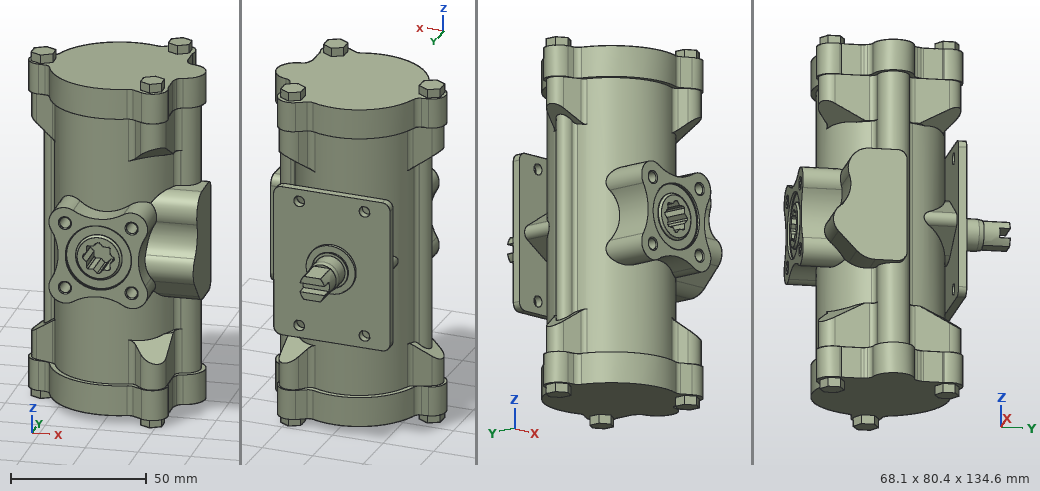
import cadquery as cq
import math

overall_height = 134.6
bolt_head_height = 3.4
cover_thickness = 11.7
cover_radius = 25.7
tube_diameter = 47.5

left_screw_x = -28.7
right_screw_x = 17.9
right_screw_y = 21.5
left_head_corners = 9.5
right_head_corners = 9.2
head_turn = 30.0

cover_left_lug_radius = 5.5
cover_right_lug_radius = 5.8
tube_left_lug_radius = 4.5
tube_right_lug_radius = 5.1
cover_left_lug_taper = 7.0
cover_right_lug_taper = 20.0
tube_left_lug_taper = 22.0
tube_right_lug_taper = 5.0
cover_side_inset = 0.5
tube_lug_length = 17.2
lug_slope_start = 22.6
lug_slope_angle = 34.7
lug_slope_run = 16.2
lug_slope_width = 26.9
lug_root_reach = 17.8

lobe_x = 24.9
cover_lobe_radius = 7.8
tube_lobe_radius = 6.0
rib_x = -25.0
rib_radius = 3.4
cover_blend = 2.7
lug_blend = 2.5
tube_lobe_blend = 2.4
rib_blend = 1.6

flange_face_y = -32.6
flange_hole_offset = 12.7
flange_corner_radius = 6.0
flange_waist = 15.2
tapped_hole_diameter = 4.2
tapped_hole_mouth = 5.0
tapped_hole_depth = 10.8
drill_tip_angle = 118.0
recess_diameter = 25.0
recess_depth = 1.1
recess_chamfer = 0.3

plate_width = 46.0
plate_height = 59.8
plate_thickness = 3.1
plate_inner_y = 24.9
plate_corner_radius = 3.1
plate_hole_x = 12.9
plate_hole_z = 25.0
plate_hole_diameter = 4.2
support_radius = 12.1
support_tip_radius = 3.1
support_half_length = 20.2
bearing_boss_diameter = 19.4
bearing_boss_height = 1.2

block_face_x = 33.9
block_start_x = 10.8
block_half_height = 21.3
block_back_y = 3.5
upper_lobe_y = -10.6
upper_lobe_radius = 8.0
lower_lobe_y = -17.4
lower_lobe_z = -6.5
lower_lobe_radius = 6.7
bottom_arc_y = -8.3
bottom_arc_radius = 9.7
waist_arc_radius = 11.0

shaft_diameter = 17.6
shaft_end_chamfer = 0.8
collar_diameter = 14.1
collar_end_y = 30.0
neck_diameter = 12.0
neck_end_y = 36.0
neck_cone_length = 1.9
neck_cone_end_diameter = 11.2
shaft_tip_y = 47.8
tip_flat_thickness = 9.3
tip_flat_width = 6.6
tip_root_width = 11.2
tip_end_width = 10.1
tip_slot_width = 3.6
tip_slot_depth = 4.0
socket_tip_diameter = 12.0
socket_square = 9.0
socket_turn = 45.0
socket_depth = 12.1

match_tolerance = 0.01

tube_radius = tube_diameter / 2
cover_top = overall_height / 2 - bolt_head_height
tube_top = cover_top - cover_thickness
lug_bottom = tube_top - tube_lug_length
plate_outer_y = plate_inner_y + plate_thickness
bearing_boss_y = plate_outer_y + bearing_boss_height
screw_points = [
    (left_screw_x, 0.0),
    (right_screw_x, right_screw_y),
    (right_screw_x, -right_screw_y),
]


def disc_y(diameter, y_start, y_end):
    """Cylinder about the Y axis between two Y positions."""
    plane = cq.Workplane("XZ", origin=(0, y_start, 0))
    return plane.circle(diameter / 2).extrude(y_start - y_end)


def on_circle(center, radius, target):
    """Point of a circle that lies in the direction of the target."""
    distance = math.dist(center, target)
    return tuple(c + radius * (t - c) / distance for c, t in zip(center, target))


def quarter_turned(point, turns):
    """Point turned clockwise about the origin by a number of quarter turns."""
    for _ in range(turns):
        point = (point[1], -point[0])
    return point


def lug(point, radius, taper, z_bottom, height):
    """Round-ended lug that widens toward the tube axis."""
    reach = math.hypot(*point)
    direction = math.degrees(math.atan2(point[1], point[0]))
    angle = math.radians(taper)
    tangent_r = reach + radius * math.sin(angle)
    tangent_half = radius * math.cos(angle)
    root_half = tangent_half + (tangent_r - lug_root_reach) * math.tan(angle)
    outline = [
        (lug_root_reach, -root_half),
        (tangent_r, -tangent_half),
        (tangent_r, tangent_half),
        (lug_root_reach, root_half),
    ]
    plane = cq.Workplane("XY", origin=(0, 0, z_bottom))
    web = plane.polyline(outline).close().extrude(height)
    nose = plane.center(reach, 0).circle(radius).extrude(height)
    return web.union(nose).rotate((0, 0, 0), (0, 0, 1), direction)


def lobe(x, radius, z_bottom, height):
    """Round-nosed bulge reaching from the tube axis out along X."""
    plane = cq.Workplane("XY", origin=(0, 0, z_bottom))
    web = plane.center(x / 2, 0).rect(abs(x), 2 * radius).extrude(height)
    return web.union(plane.center(x, 0).circle(radius).extrude(height))


def vertical_edges(solid, *radii):
    """Vertical edges that lie at any of the given distances from the tube axis."""
    def is_at_a_radius(edge):
        center = edge.Center()
        distance = math.hypot(center.x, center.y)
        return any(abs(distance - radius) < match_tolerance for radius in radii)

    return solid.edges("|Z").filter(is_at_a_radius)


def lugged_block(core_radius, radii, tapers, side_x, lobe_radius, blend, z_bottom, height):
    """Disc with three screw lugs, a flat side between two of them, and the lobe."""
    plane = cq.Workplane("XY", origin=(0, 0, z_bottom))
    block = plane.circle(core_radius).extrude(height)
    side_width = side_x - right_screw_x
    side_center = right_screw_x + side_width / 2
    side = plane.center(side_center, 0).rect(side_width, 2 * right_screw_y).extrude(height)
    block = block.union(side)
    for point, radius, taper in zip(screw_points, radii, tapers):
        block = block.union(lug(point, radius, taper, z_bottom, height))
    block = block.union(lobe(lobe_x, lobe_radius, z_bottom, height))
    return vertical_edges(block, core_radius, math.hypot(side_x, lobe_radius)).fillet(blend)


def make_cover():
    """Upper end cover."""
    radii = [cover_left_lug_radius, cover_right_lug_radius, cover_right_lug_radius]
    tapers = [cover_left_lug_taper, cover_right_lug_taper, cover_right_lug_taper]
    side_x = right_screw_x + cover_right_lug_radius - cover_side_inset
    return lugged_block(
        cover_radius,
        radii,
        tapers,
        side_x,
        cover_lobe_radius,
        cover_blend,
        tube_top,
        cover_thickness,
    )


def make_tube_lugs():
    """Lugs at the upper tube end, with undersides sloping up and outward."""
    radii = [tube_left_lug_radius, tube_right_lug_radius, tube_right_lug_radius]
    tapers = [tube_left_lug_taper, tube_right_lug_taper, tube_right_lug_taper]
    side_x = right_screw_x + tube_right_lug_radius
    block = lugged_block(
        tube_radius,
        radii,
        tapers,
        side_x,
        tube_lobe_radius,
        lug_blend,
        lug_bottom,
        tube_lug_length,
    )
    rise = lug_slope_run * math.tan(math.radians(lug_slope_angle))
    wedge_outline = [
        (lug_slope_start, lug_bottom),
        (lug_slope_start + lug_slope_run, lug_bottom),
        (lug_slope_start + lug_slope_run, lug_bottom + rise),
    ]
    wedge = cq.Workplane("XZ").polyline(wedge_outline).close()
    wedge = wedge.extrude(lug_slope_width / 2, both=True)
    for x, y in screw_points:
        direction = math.degrees(math.atan2(y, x))
        block = block.cut(wedge.rotate((0, 0, 0), (0, 0, 1), direction))
    return block


def make_screw_heads():
    """Three hexagon heads on the upper cover."""
    heads = cq.Workplane("XY")
    for index, (x, y) in enumerate(screw_points):
        corners = left_head_corners if index == 0 else right_head_corners
        head = cq.Workplane("XY").polygon(6, corners).extrude(bolt_head_height)
        head = head.rotate((0, 0, 0), (0, 0, 1), head_turn)
        heads = heads.add(head.translate((x, y, cover_top)))
    return heads.combine()


def make_tube():
    """Plain tube with its lobe and its rib."""
    height = 2 * tube_top
    tube = cq.Workplane("XY", origin=(0, 0, -tube_top)).circle(tube_radius).extrude(height)
    tube = tube.union(lobe(lobe_x, tube_lobe_radius, -tube_top, height))
    tube = tube.union(lobe(rib_x, rib_radius, -tube_top, height))
    lobe_corners = vertical_edges(tube, tube_radius).filter(lambda edge: edge.Center().x > 0)
    tube = lobe_corners.fillet(tube_lobe_blend)
    rib_corners = vertical_edges(tube, tube_radius).filter(lambda edge: edge.Center().x < 0)
    return rib_corners.fillet(rib_blend)


def make_flange():
    """Four-cornered mounting flange with hollow sides, ending at the -Y face."""
    hole = flange_hole_offset
    corner = flange_corner_radius
    gap = hole - flange_waist
    side = (hole**2 + gap**2 - corner**2) / (2 * (corner + gap))
    side_center = flange_waist + side
    tangent = on_circle((hole, hole), corner, (0, side_center))
    tip = hole + corner / math.sqrt(2)
    near, far = tangent
    outline = cq.Workplane("XZ").moveTo(-near, far)
    for turns in range(4):
        side_middle = quarter_turned((0, flange_waist), turns)
        side_end = quarter_turned((near, far), turns)
        corner_middle = quarter_turned((tip, tip), turns)
        corner_end = quarter_turned((far, near), turns)
        outline = outline.threePointArc(side_middle, side_end)
        outline = outline.threePointArc(corner_middle, corner_end)
    outline = outline.close()
    return outline.extrude(-flange_face_y)


def make_support():
    """Oval pad between the tube and the plate: a round middle with two narrow tips."""
    tip_x = support_half_length - support_tip_radius
    sine = (support_radius - support_tip_radius) / tip_x
    cosine = math.sqrt(1 - sine**2)
    middle = (support_radius * sine, support_radius * cosine)
    end = (tip_x + support_tip_radius * sine, support_tip_radius * cosine)
    outline = cq.Workplane("XZ").moveTo(-middle[0], middle[1])
    outline = outline.threePointArc((0, support_radius), middle).lineTo(*end)
    outline = outline.threePointArc((support_half_length, 0), (end[0], -end[1]))
    outline = outline.lineTo(middle[0], -middle[1])
    outline = outline.threePointArc((0, -support_radius), (-middle[0], -middle[1]))
    outline = outline.lineTo(-end[0], -end[1])
    outline = outline.threePointArc((-support_half_length, 0), (-end[0], end[1])).close()
    return outline.extrude(-plate_inner_y)


def make_plate():
    """Rounded rectangular plate with four holes and a low bearing boss."""
    plane = cq.Workplane("XZ", origin=(0, plate_outer_y, 0))
    plate = plane.rect(plate_width, plate_height).extrude(plate_thickness)
    plate = plate.edges("|Y").fillet(plate_corner_radius)
    holes = plane.rect(2 * plate_hole_x, 2 * plate_hole_z, forConstruction=True).vertices()
    holes = holes.circle(plate_hole_diameter / 2).extrude(plate_thickness)
    boss = disc_y(bearing_boss_diameter, plate_outer_y, bearing_boss_y)
    return plate.cut(holes).union(boss)


def make_connection_block():
    """Block on the +X side whose -Y flank is two round lobes with a hollow between."""
    upper = (upper_lobe_y, block_half_height - upper_lobe_radius)
    lower = (lower_lobe_y, lower_lobe_z)
    bottom = (bottom_arc_y, bottom_arc_radius - block_half_height)

    span = math.dist(upper, lower)
    to_upper = upper_lobe_radius + waist_arc_radius
    to_lower = lower_lobe_radius + waist_arc_radius
    along = (to_upper**2 - to_lower**2 + span**2) / (2 * span)
    across = math.sqrt(to_upper**2 - along**2)
    unit = ((lower[0] - upper[0]) / span, (lower[1] - upper[1]) / span)
    waist = (
        upper[0] + along * unit[0] + across * unit[1],
        upper[1] + along * unit[1] - across * unit[0],
    )
    waist_start = on_circle(upper, upper_lobe_radius, waist)
    waist_end = on_circle(lower, lower_lobe_radius, waist)
    waist_middle = on_circle(waist, waist_arc_radius, [(a + b) / 2 for a, b in zip(upper, lower)])

    reach = math.dist(lower, bottom)
    heading = math.atan2(bottom[1] - lower[1], bottom[0] - lower[0])
    normal_angle = heading - math.acos((lower_lobe_radius - bottom_arc_radius) / reach)
    normal = (math.cos(normal_angle), math.sin(normal_angle))
    flank_start = tuple(c + lower_lobe_radius * n for c, n in zip(lower, normal))
    flank_end = tuple(c + bottom_arc_radius * n for c, n in zip(bottom, normal))
    bottom_end = (bottom_arc_y, -block_half_height)
    bottom_middle = on_circle(
        bottom, bottom_arc_radius, [(a + b) / 2 for a, b in zip(flank_end, bottom_end)]
    )
    upper_middle = on_circle(upper, upper_lobe_radius, (upper[0] - 1.3, upper[1] + 1.3))

    outline = cq.Workplane("YZ", origin=(block_start_x, 0, 0))
    outline = outline.moveTo(upper_lobe_y, block_half_height)
    outline = outline.threePointArc(upper_middle, waist_start)
    outline = outline.threePointArc(waist_middle, waist_end)
    outline = outline.threePointArc((lower[0] - lower_lobe_radius, lower[1]), flank_start)
    outline = outline.lineTo(*flank_end)
    outline = outline.threePointArc(bottom_middle, bottom_end)
    outline = outline.lineTo(block_back_y, -block_half_height)
    outline = outline.lineTo(block_back_y, block_half_height).close()
    block = outline.extrude(block_face_x - block_start_x)
    return block.edges("|X and >Y").fillet(block_back_y)


def make_tapped_hole():
    """Blind hole along Y with a countersunk mouth and a drill tip, at the flange face."""
    hole_radius = tapped_hole_diameter / 2
    mouth_radius = tapped_hole_mouth / 2
    countersink = mouth_radius - hole_radius
    tip = hole_radius / math.tan(math.radians(drill_tip_angle / 2))
    section = [
        (0, flange_face_y),
        (mouth_radius, flange_face_y),
        (hole_radius, flange_face_y + countersink),
        (hole_radius, flange_face_y + tapped_hole_depth),
        (0, flange_face_y + tapped_hole_depth + tip),
    ]
    return cq.Workplane("XY").polyline(section).close().revolve(360, (0, 0, 0), (0, 1, 0))


def make_housing():
    """Tube, covers, screw heads, flange, plate and connection block as one solid."""
    housing = make_tube()
    for end_part in (make_tube_lugs(), make_cover(), make_screw_heads()):
        housing = housing.union(end_part).union(end_part.mirror("XY"))
    for side_part in (make_connection_block(), make_flange(), make_support(), make_plate()):
        housing = housing.union(side_part)

    recess_floor_y = flange_face_y + recess_depth
    recess = disc_y(recess_diameter, flange_face_y, recess_floor_y)
    recess = recess.faces(">Y").chamfer(recess_chamfer)
    housing = housing.cut(recess)
    for x in (-flange_hole_offset, flange_hole_offset):
        for z in (-flange_hole_offset, flange_hole_offset):
            housing = housing.cut(make_tapped_hole().translate((x, 0, z)))

    housing = housing.cut(disc_y(shaft_diameter, flange_face_y, plate_inner_y))
    return housing.cut(disc_y(collar_diameter, plate_inner_y, bearing_boss_y))


def tip_outline(workplane, width):
    """Two parallel flats joined by bowed sides that span the given width."""
    flat_x = tip_flat_width / 2
    flat_z = tip_flat_thickness / 2
    outline = workplane.moveTo(-flat_x, flat_z).lineTo(flat_x, flat_z)
    outline = outline.threePointArc((width / 2, 0), (flat_x, -flat_z)).lineTo(-flat_x, -flat_z)
    return outline.threePointArc((-width / 2, 0), (-flat_x, flat_z)).close()


def make_shaft_tip(root_y):
    """Tapered tip with two flats and a driver slot across its end along X."""
    length = shaft_tip_y - root_y
    root = tip_outline(cq.Workplane("XZ", origin=(0, root_y, 0)), tip_root_width)
    tip = tip_outline(root.workplane(offset=-length), tip_end_width).loft(ruled=True)
    slot_center_y = shaft_tip_y - tip_slot_depth / 2
    slot = cq.Workplane("XY").box(tip_root_width * 2, tip_slot_depth, tip_slot_width)
    return tip.cut(slot.translate((0, slot_center_y, 0)))


def make_socket():
    """Eight-pointed star socket: two crossed squares trimmed by a circle."""
    plane = cq.Workplane("XZ", origin=(0, flange_face_y, 0))
    square = plane.rect(socket_square, socket_square).extrude(-socket_depth)
    star = square.union(square.rotate((0, 0, 0), (0, 1, 0), socket_turn))
    return star.intersect(disc_y(socket_tip_diameter, flange_face_y, flange_face_y + socket_depth))


def make_shaft():
    """Stepped shaft with a star socket at -Y and a slotted tip at +Y."""
    cone_end_y = neck_end_y + neck_cone_length
    shaft = disc_y(shaft_diameter, flange_face_y, plate_inner_y)
    shaft = shaft.faces("<Y").chamfer(shaft_end_chamfer)
    shaft = shaft.union(disc_y(collar_diameter, plate_inner_y, collar_end_y))
    shaft = shaft.union(disc_y(neck_diameter, collar_end_y, neck_end_y))
    cone = cq.Workplane("XZ", origin=(0, neck_end_y, 0)).circle(neck_diameter / 2)
    cone = cone.workplane(offset=-neck_cone_length).circle(neck_cone_end_diameter / 2).loft()
    shaft = shaft.union(cone).union(make_shaft_tip(cone_end_y))
    return shaft.cut(make_socket())


housing = make_housing()
shaft = make_shaft()

result = cq.Compound.makeCompound([housing.val(), shaft.val()])